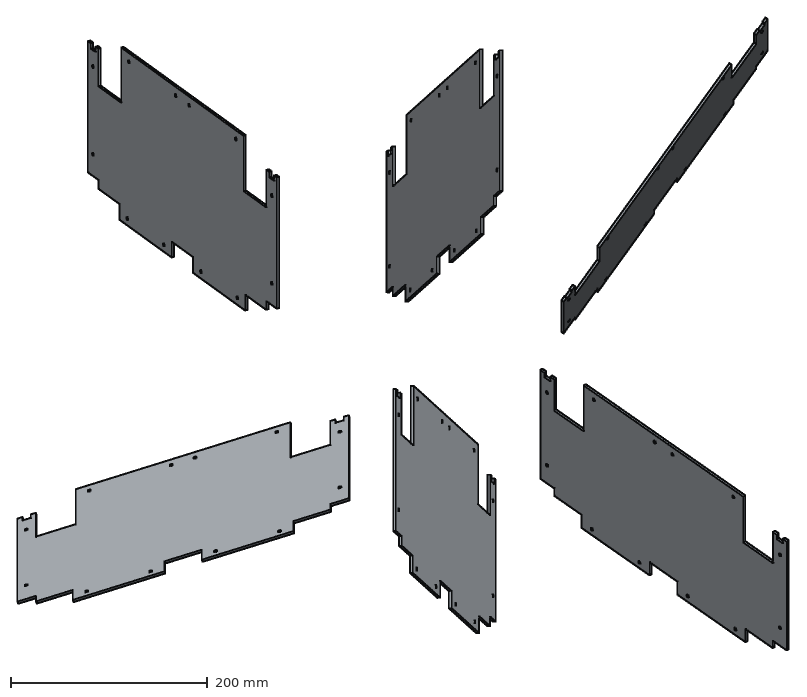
import cadquery as cq

width = 360.0
height = 198.0
thickness = 3.0
half_width = width / 2

arm_width = 20.0
arm_bottom = 28.0
arm_top = 178.0
shoulder_height = 135.0
centre_half_width = 116.5
body_bottom = 18.0
foot_inner = 20.0
foot_width = 99.7
foot_outer = foot_inner + foot_width

slot_width = 9.0
slot_depth = 6.0

hole_diameter = 3.2
arm_hole_inset = 9.7
arm_hole_low = 53.0
arm_hole_spacing = 100.0
top_hole_inset = 10.0
top_hole_inner = 13.0
top_hole_outer = 102.0
foot_hole_height = 8.0
foot_hole_inset = 15.0

cut_length = 4 * thickness


def make_plate():
    """Extrude the mirror-symmetric outline, centred on the XZ plane."""
    arm_inner = half_width - arm_width
    right_side = [
        (foot_inner, body_bottom),
        (foot_inner, 0),
        (foot_outer, 0),
        (foot_outer, body_bottom),
        (arm_inner, body_bottom),
        (arm_inner, arm_bottom),
        (half_width, arm_bottom),
        (half_width, arm_top),
        (arm_inner, arm_top),
        (arm_inner, shoulder_height),
        (centre_half_width, shoulder_height),
        (centre_half_width, height),
    ]
    left_side = [(-x, z) for x, z in reversed(right_side)]
    outline = cq.Workplane("XZ").polyline(right_side + left_side).close()
    return outline.extrude(thickness / 2, both=True)


def make_arm_slots():
    """Rectangular slots centred across the arms, open at the top."""
    slot_x = half_width - arm_width / 2
    return (
        cq.Workplane("XZ")
        .pushPoints([(side * slot_x, arm_top) for side in (-1, 1)])
        .rect(slot_width, 2 * slot_depth)
        .extrude(cut_length / 2, both=True)
    )


def make_holes():
    """Through holes in the arms, along the top edge and in the feet."""
    arm_x = half_width - arm_hole_inset
    top_z = height - top_hole_inset
    right_holes = [
        (arm_x, arm_hole_low),
        (arm_x, arm_hole_low + arm_hole_spacing),
        (top_hole_inner, top_z),
        (top_hole_outer, top_z),
        (foot_inner + foot_hole_inset, foot_hole_height),
        (foot_outer - foot_hole_inset, foot_hole_height),
    ]
    centres = [(side * x, z) for side in (-1, 1) for x, z in right_holes]
    return (
        cq.Workplane("XZ")
        .pushPoints(centres)
        .circle(hole_diameter / 2)
        .extrude(cut_length / 2, both=True)
    )


result = make_plate().cut(make_arm_slots()).cut(make_holes())